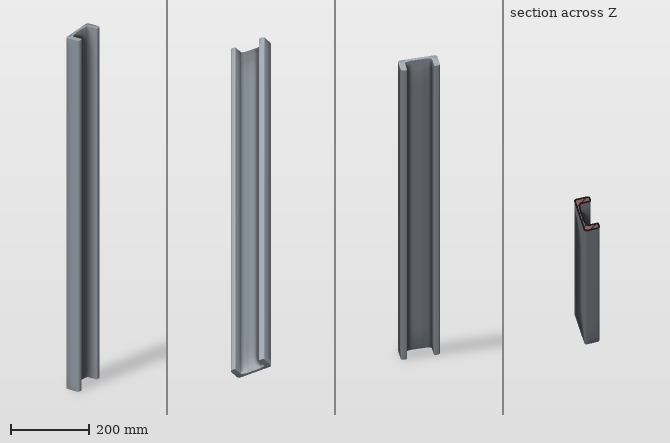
import cadquery as cq

depth = 40.0
height = 102.8
length = 1000.0

flange_thickness = 16.0
web_thickness = 7.5
web_shoulder_thickness = 10.0

thin_web_half_height = 20.0
shoulder_half_height = 31.0

outer_radius = 6.0
inner_radius = 4.0
tip_radius = 3.0

back_x = -depth / 2
tip_x = depth / 2
web_x = back_x + web_thickness
shoulder_x = back_x + web_shoulder_thickness
inner_y = height / 2 - flange_thickness


def round_edge_pair(body, x, y, radius):
    """Round the two long edges of the body nearest to (x, y) and (x, -y)."""
    nearest_to = cq.selectors.NearestToPointSelector
    edge_pair = nearest_to((x, y, 0)) + nearest_to((x, -y, 0))
    return body.edges(edge_pair).fillet(radius)


def channel_blank():
    """Solid bar with its four long outer edges rounded."""
    bar = cq.Workplane("XY").box(depth, height, length)
    return bar.edges("|Z").fillet(outer_radius)


def channel_cavity():
    """Open space between the flanges, with rounded corners at the web."""
    outline = [
        (tip_x, -inner_y),
        (shoulder_x, -inner_y),
        (shoulder_x, -shoulder_half_height),
        (web_x, -thin_web_half_height),
        (web_x, thin_web_half_height),
        (shoulder_x, shoulder_half_height),
        (shoulder_x, inner_y),
        (tip_x, inner_y),
    ]
    cavity = (
        cq.Workplane("XY")
        .workplane(offset=-length / 2)
        .polyline(outline)
        .close()
        .extrude(length)
    )
    return round_edge_pair(cavity, shoulder_x, inner_y, inner_radius)


channel = channel_blank().cut(channel_cavity())
result = round_edge_pair(channel, tip_x, inner_y, tip_radius)